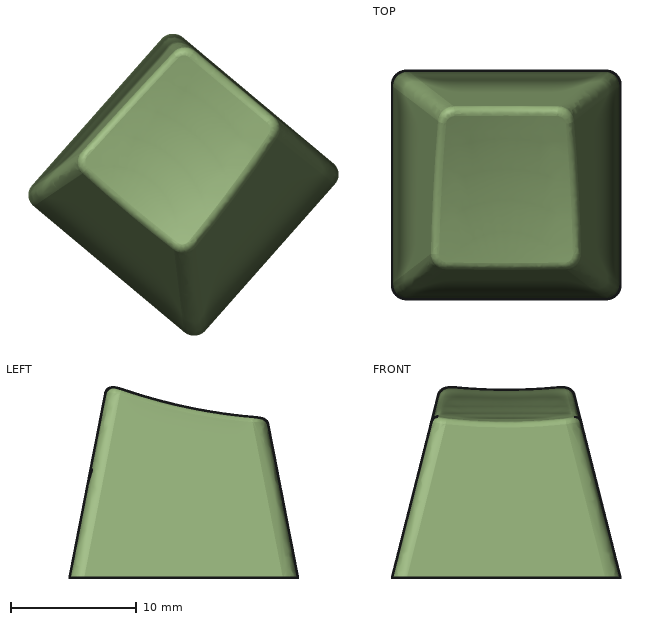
import cadquery as cq
import math

base_side = 18.3
side_draft = 14.2
end_draft = 11.0
blank_height = 20.13
corner_radius = 1.25
rim_radius = 0.6

dish_radius = 43.0
dish_tilt = 12.8
dish_center_y = 0.2
dish_center_z = 13.45


def tapered_blank():
    """Four-sided frustum with rounded corner edges."""
    top_width = base_side - 2 * blank_height * math.tan(math.radians(side_draft))
    top_depth = base_side - 2 * blank_height * math.tan(math.radians(end_draft))
    blank = (
        cq.Workplane("XY")
        .rect(base_side, base_side)
        .workplane(offset=blank_height)
        .rect(top_width, top_depth)
        .loft(ruled=True)
    )
    corner_edges = blank.faces("not(<Z or >Z)").edges("not(#Z)")
    return corner_edges.fillet(corner_radius)


def dish_ball():
    """Ball whose underside forms the finger dish."""
    tilt = math.radians(dish_tilt)
    ball_y = dish_center_y - dish_radius * math.sin(tilt)
    ball_z = dish_center_z + dish_radius * math.cos(tilt)
    return cq.Workplane("XY").sphere(dish_radius).translate((0, ball_y, ball_z))


keycap = tapered_blank().cut(dish_ball())
rim_edges = keycap.faces("%SPHERE").edges()
result = rim_edges.fillet(rim_radius)